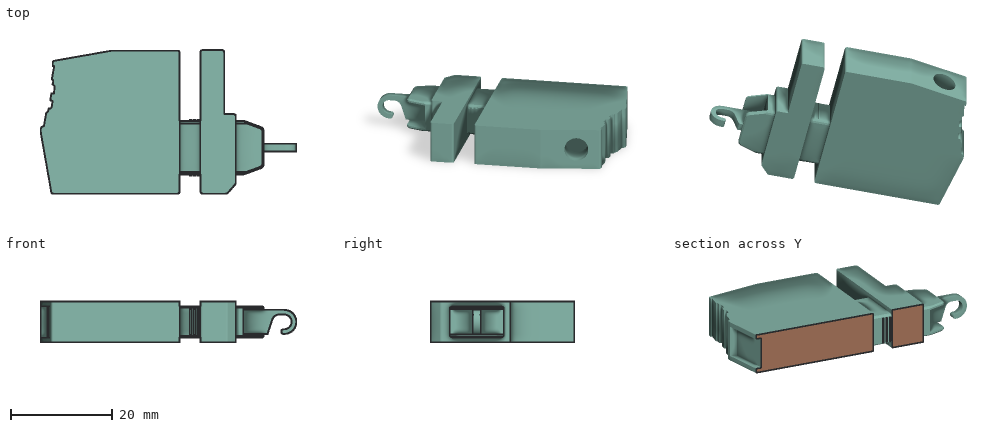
import cadquery as cq
import math


housing_thickness = 8.1
housing_right = 27.45
housing_height = 28.3
lean = math.tan(math.radians(10))
lower_slant_top = 12.17
upper_slant_end = 14.1
housing_nose_x = 2.36
corner_round = 0.45
overlap = 1.0

window_bottom_y = 3.0
window_top_y = 12.06
window_floor_bottom = (2.72, 3.75)
window_floor_top = (1.3, 11.7)
window_thickness = 6.2

hole_diameter = 4.7
hole_center_y = 27.07
hole_depth = 5.0

flange_left = 31.57
flange_right = 38.58
flange_upper_right = 36.28
flange_height = 28.4
flange_step_y = 15.76
flange_chamfer_x = 1.75
flange_chamfer_y = 2.0
flange_chamfer_round = 0.68

neck_center_y = 9.12
neck_half_width = 5.32
neck_half_thickness = 3.1
neck_bevel_width = 0.6
neck_bevel_drop = 0.35
neck_bevel_mid_width = 0.24
neck_bevel_mid_drop = 0.13
tip_end_x = 44.08
tip_taper_start = 40.06
tip_taper_angle = 20
tip_round = 1.0
tip_chamfer = 0.3
slot_start_x = 40.03
slot_half_thickness = 2.46

rib_count = 3
rib_first_x = 29.5
rib_pitch = 0.76
rib_width = 0.36
rib_height = 0.2
rib_half_thickness = 2.75
rib_bevel = 0.22

hook_width = 1.55
hook_radius = 2.4
hook_bore_radius = 1.43
hook_end_x = 50.52
hook_center_x = hook_end_x - hook_radius
hook_base_corner_x = 44.83
hook_throat_x = 46.1
hook_throat_round = 1.4
hook_tip_length = 0.12


def round_corners(body, corners, radius):
    """Round the Z-parallel edges that pass through the given (x, y) corners."""
    for x, y in corners:
        body = body.edges(cq.selectors.NearestToPointSelector((x, y, 0))).fillet(radius)
    return body


def lower_slant_x(y):
    """X on the lower-left slanted face at height y."""
    return (lower_slant_top - y) * lean


def upper_slant_y(x):
    """Y on the upper slanted face at position x."""
    return housing_height - (upper_slant_end - x) * lean


def centered_plate(outline, thickness):
    """Closed XY outline extruded symmetrically about Z = 0."""
    return cq.Workplane("XY").polyline(outline).close().extrude(thickness / 2, both=True)


def make_housing():
    bottom_left = (lower_slant_x(0), 0)
    bottom_right = (housing_right, 0)
    top_right = (housing_right, housing_height)
    top_left = (housing_nose_x, upper_slant_y(housing_nose_x))
    grip = [
        (housing_nose_x, 25.2),
        (2.66, 25.2),
        (2.20, 22.65),
        (2.48, 22.40),
        (2.43, 21.80),
        (2.33, 21.65),
        (2.78, 21.25),
        (2.60, 19.85),
        (2.10, 19.85),
        (1.90, 18.45),
        (2.34, 18.30),
        (2.18, 17.15),
        (1.95, 16.85),
        (1.60, 16.85),
        (1.45, 16.30),
        (1.08, 15.90),
        (0.63, 13.38),
        (0.25, 13.25),
        (0.00, 12.90),
    ]
    outline = [bottom_left, bottom_right, top_right, (upper_slant_end, housing_height), top_left]
    outline += grip + [(0, lower_slant_top)]
    body = centered_plate(outline, housing_thickness)
    return round_corners(body, [bottom_left, bottom_right, top_right, top_left], corner_round)


def make_window():
    outline = [
        (lower_slant_x(window_bottom_y), window_bottom_y),
        window_floor_bottom,
        window_floor_top,
        (lower_slant_x(window_top_y), window_top_y),
    ]
    return centered_plate(outline, window_thickness)


def make_screw_hole():
    hole_center_x = upper_slant_end - (housing_height - hole_center_y) / lean
    inward = cq.Vector(lean, -1, 0).normalized()
    start = cq.Vector(hole_center_x, hole_center_y, 0) - inward * overlap
    hole = cq.Solid.makeCylinder(hole_diameter / 2, hole_depth + overlap, start, inward)
    return cq.Workplane(obj=hole)


def make_flange():
    outline = [
        (flange_left, 0),
        (flange_right - flange_chamfer_x, 0),
        (flange_right, flange_chamfer_y),
        (flange_right, flange_step_y),
        (flange_upper_right, flange_step_y),
        (flange_upper_right, flange_height),
        (flange_left, flange_height),
    ]
    bottom_left, chamfer_start, chamfer_end, step_outer, _, top_right, top_left = outline
    body = centered_plate(outline, housing_thickness)
    body = round_corners(body, [bottom_left, step_outer, top_right, top_left], corner_round)
    return round_corners(body, [chamfer_start, chamfer_end], flange_chamfer_round)


def make_neck_bar():
    """Bar along X whose four long edges carry a two-step bevel."""
    quarter = [
        (neck_half_width, neck_half_thickness - neck_bevel_drop),
        (neck_half_width - neck_bevel_mid_width, neck_half_thickness - neck_bevel_mid_drop),
        (neck_half_width - neck_bevel_width, neck_half_thickness),
    ]
    upper = quarter + [(-y, z) for y, z in reversed(quarter)]
    section = upper + [(-y, -z) for y, z in upper]
    plane = cq.Workplane("YZ", origin=(housing_right - overlap, neck_center_y, 0))
    return plane.polyline(section).close().extrude(tip_end_x - housing_right + overlap)


def make_tip_outline():
    """Tapered outline of the neck, with chamfered rims on its large faces."""
    start_x = housing_right - overlap
    taper_drop = (tip_end_x - tip_taper_start) * math.tan(math.radians(tip_taper_angle))
    half_end = neck_half_width - taper_drop
    upper = [
        (start_x, neck_center_y + neck_half_width),
        (tip_taper_start, neck_center_y + neck_half_width),
        (tip_end_x, neck_center_y + half_end),
    ]
    outline = upper + [(x, 2 * neck_center_y - y) for x, y in reversed(upper)]
    body = centered_plate(outline, 2 * neck_half_thickness)
    end_corners = [(tip_end_x, neck_center_y + side * half_end) for side in (1, -1)]
    return round_corners(body, end_corners, tip_round).faces("|Z").chamfer(tip_chamfer)


def make_neck():
    slot_length = tip_end_x - slot_start_x + overlap
    slot_width = 2 * (neck_half_width + overlap)
    slot = cq.Workplane("XY").box(slot_length, slot_width, 2 * slot_half_thickness)
    slot = slot.translate((slot_start_x + slot_length / 2, neck_center_y, 0))
    return make_neck_bar().intersect(make_tip_outline()).cut(slot)


def make_ribs():
    """Upright ribs that stand out equally on both sides of the neck."""
    half_span = neck_half_width + rib_height
    ribs = cq.Workplane("XY")
    for index in range(rib_count):
        rib = cq.Workplane("XY").box(rib_width, 2 * half_span, 2 * rib_half_thickness)
        rib = rib.edges("|X").chamfer(rib_bevel)
        center_x = rib_first_x + index * rib_pitch + rib_width / 2
        ribs = ribs.add(rib.translate((center_x, neck_center_y, 0)))
    return ribs.combine()


def make_hook():
    end_radius = (hook_radius - hook_bore_radius) / 2
    end_middle_z = -(hook_radius + hook_bore_radius) / 2
    tip_x = hook_center_x - hook_tip_length
    start_x = slot_start_x - overlap
    throat = (hook_throat_x, hook_bore_radius)
    plane = cq.Workplane("XZ", origin=(0, neck_center_y, 0))
    body = (
        plane.moveTo(start_x, -hook_radius)
        .lineTo(start_x, hook_radius)
        .lineTo(hook_center_x, hook_radius)
        .threePointArc((hook_center_x + hook_radius, 0), (hook_center_x, -hook_radius))
        .lineTo(tip_x, -hook_radius)
        .threePointArc((tip_x - end_radius, end_middle_z), (tip_x, -hook_bore_radius))
        .lineTo(hook_center_x, -hook_bore_radius)
        .threePointArc((hook_center_x + hook_bore_radius, 0), (hook_center_x, hook_bore_radius))
        .lineTo(*throat)
        .lineTo(hook_base_corner_x, -hook_radius)
        .close()
        .extrude(hook_width / 2, both=True)
    )
    throat_edge = cq.selectors.NearestToPointSelector((throat[0], neck_center_y, throat[1]))
    return body.edges(throat_edge).fillet(hook_throat_round)


housing = make_housing().cut(make_window()).cut(make_screw_hole())
result = housing.union(make_neck()).union(make_ribs()).union(make_flange()).union(make_hook())